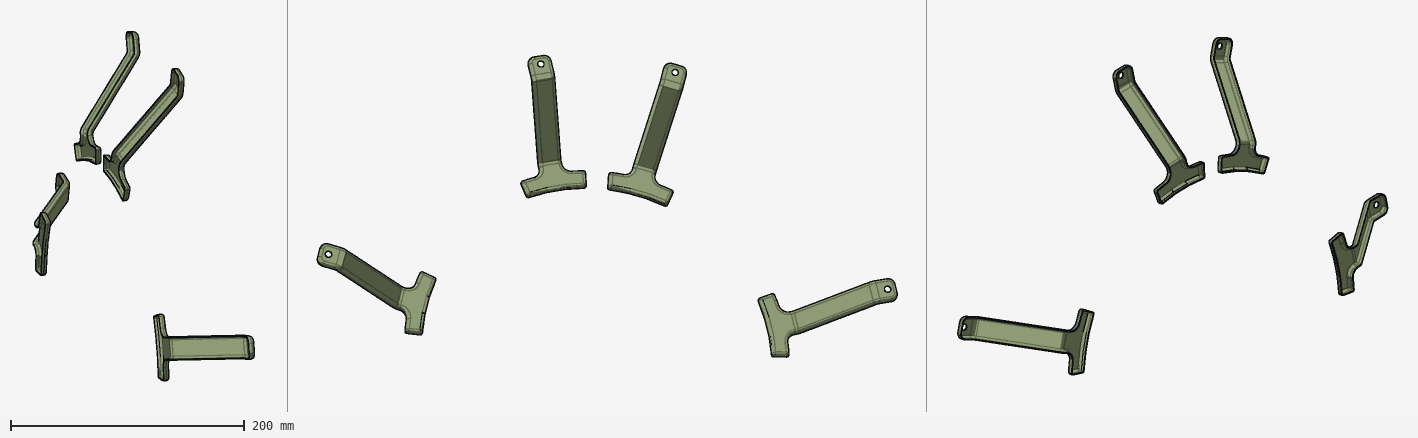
import cadquery as cq
import math

TILT = 13.5
BRACKET_ANGLES = (TILT, 90 - TILT, 90 + TILT, 180 - TILT)

FOOT_INNER_RADIUS = 152.0
FOOT_HEIGHT = 15.0
FOOT_HALF_ANGLE = 10.0
LOWER_BEND_RADIUS = 178.0
UPPER_BEND_RADIUS = 240.0
HOLE_RADIUS = 250.0
TIP_RADIUS = 258.0

DEPTH = 53.5
THICKNESS = 5.5
ARM_WIDTH = 20.0
HOLE_DIAMETER = 5.5
RIM_WIDTH = 1.0
FLOOR_THICKNESS = 1.0
POCKET_DEPTH = THICKNESS - FLOOR_THICKNESS
BEND_INNER_RADIUS = 4.0

TIP_CORNER_RADIUS = 6.0
FOOT_CORNER_RADIUS = 2.0
ROOT_FILLET_RADIUS = 7.5
BACK_EDGE_RADIUS = 3.0
POCKET_FLOOR_RADIUS = BACK_EDGE_RADIUS - RIM_WIDTH

RISE = DEPTH - THICKNESS
SLOPE = math.atan2(RISE, UPPER_BEND_RADIUS - LOWER_BEND_RADIUS)
CLEARANCE = 10.0
BACK_FACING = 0.1


def ring_point(radius, angle_deg):
    """Point at a distance from the ring axis and an angle from the bracket centre line."""
    angle = math.radians(angle_deg)
    return (radius * math.cos(angle), radius * math.sin(angle))


def bracket_outline(inset=0.0):
    """Prism of the T-shaped outline, a curved foot and a straight arm, shrunk by an inset."""
    inner = FOOT_INNER_RADIUS + inset
    outer = FOOT_INNER_RADIUS + FOOT_HEIGHT - inset
    inner_angle = FOOT_HALF_ANGLE - math.degrees(math.asin(inset / inner))
    outer_angle = FOOT_HALF_ANGLE - math.degrees(math.asin(inset / outer))
    foot = (
        cq.Workplane("XY")
        .moveTo(*ring_point(inner, -inner_angle))
        .threePointArc((inner, 0), ring_point(inner, inner_angle))
        .lineTo(*ring_point(outer, outer_angle))
        .threePointArc((outer, 0), ring_point(outer, -outer_angle))
        .close()
        .extrude(DEPTH)
        .edges("|Z")
        .fillet(FOOT_CORNER_RADIUS - inset)
    )
    arm_start = FOOT_INNER_RADIUS + FOOT_HEIGHT / 2
    arm_end = TIP_RADIUS - inset
    arm = (
        cq.Workplane("XY")
        .moveTo((arm_start + arm_end) / 2, 0)
        .rect(arm_end - arm_start, ARM_WIDTH - 2 * inset)
        .extrude(DEPTH)
        .edges("|Z and >X")
        .fillet(TIP_CORNER_RADIUS - inset)
    )
    root_edges = cq.selectors.BoxSelector(
        (arm_start, -ARM_WIDTH, 0),
        (outer, ARM_WIDTH, DEPTH),
    )
    return foot.union(arm).edges("|Z").edges(root_edges).fillet(ROOT_FILLET_RADIUS + inset)


def cranked_layer(front, back):
    """Cranked plate between two distances measured from the front surface."""
    def bend_points(distance):
        """Sharp lower and upper bend corners at a distance behind the front surface."""
        shift = distance * math.tan(SLOPE / 2)
        return (
            (LOWER_BEND_RADIUS - shift, distance),
            (UPPER_BEND_RADIUS - shift, RISE + distance),
        )

    front_lower, front_upper = bend_points(front)
    back_lower, back_upper = bend_points(back)
    foot_end = FOOT_INNER_RADIUS - CLEARANCE
    tip_end = TIP_RADIUS + CLEARANCE
    half_width = FOOT_INNER_RADIUS * math.sin(math.radians(FOOT_HALF_ANGLE)) + CLEARANCE
    layer = (
        cq.Workplane("XZ")
        .moveTo(foot_end, front)
        .lineTo(*front_lower)
        .lineTo(*front_upper)
        .lineTo(tip_end, RISE + front)
        .lineTo(tip_end, RISE + back)
        .lineTo(*back_upper)
        .lineTo(*back_lower)
        .lineTo(foot_end, back)
        .close()
        .extrude(half_width, both=True)
    )
    bends = (
        (front_lower, BEND_INNER_RADIUS + THICKNESS - front),
        (back_lower, BEND_INNER_RADIUS + THICKNESS - back),
        (front_upper, BEND_INNER_RADIUS + front),
        (back_upper, BEND_INNER_RADIUS + back),
    )
    for (x, z), radius in bends:
        layer = layer.edges(cq.selectors.NearestToPointSelector((x, 0, z))).fillet(radius)
    return layer


def round_back_border(body, radius):
    """Round the edges between the back surface and the side walls."""
    back_faces = [face for face in body.faces().vals() if face.normalAt().z > BACK_FACING]
    back_edges = [edge for face in back_faces for edge in face.Edges()]
    border = [
        edge for edge in back_edges
        if sum(edge.isSame(other) for other in back_edges) == 1
    ]
    return body.newObject(border).fillet(radius)


def bracket():
    """Rounded plate hollowed from the front, with the fixing hole through its tab."""
    plate = bracket_outline().intersect(cranked_layer(0, THICKNESS))
    plate = round_back_border(plate, BACK_EDGE_RADIUS)
    pocket = bracket_outline(RIM_WIDTH).intersect(cranked_layer(0, POCKET_DEPTH))
    pocket = round_back_border(pocket, POCKET_FLOOR_RADIUS)
    hole = cq.Workplane("XY").moveTo(HOLE_RADIUS, 0).circle(HOLE_DIAMETER / 2).extrude(DEPTH)
    return plate.cut(pocket).cut(hole)


def place(body, angle):
    """Turn the front to -Y, then swing the bracket up from +X by an angle about the ring axis."""
    upright = body.rotate((0, 0, 0), (1, 0, 0), -90)
    return upright.rotate((0, 0, 0), (0, 1, 0), -angle)


base_bracket = bracket()
brackets = [place(base_bracket, angle).val() for angle in BRACKET_ANGLES]
result = cq.Compound.makeCompound(brackets)